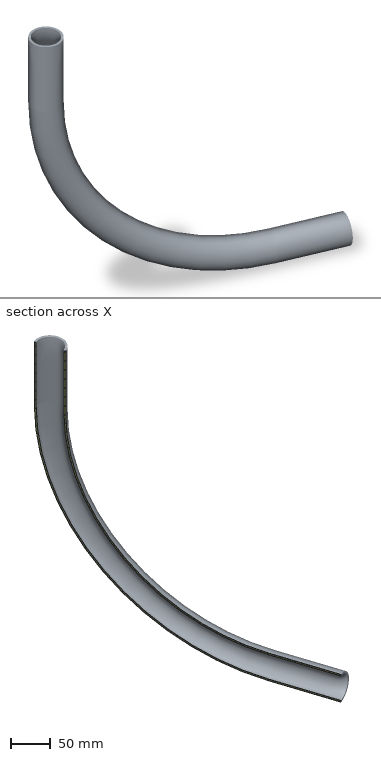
import cadquery as cq

overall_length = 428.5
outer_diameter = 44.5
inner_diameter = 38.0

straight_length = 101.0
bend_radius = overall_length - outer_diameter / 2 - straight_length
leg_reach = bend_radius + straight_length


def tube_section(workplane):
    """Annular cross-section of the tube, centred on the workplane."""
    return workplane.circle(outer_diameter / 2).circle(inner_diameter / 2)


vertical_end = tube_section(cq.Workplane("XY").workplane(offset=bend_radius)).extrude(straight_length)

bend = tube_section(cq.Workplane("XY").workplane(offset=bend_radius)).revolve(
    90, (0, bend_radius, 0), (1, bend_radius, 0)
)

horizontal_end = tube_section(cq.Workplane("XZ", origin=(0, leg_reach, 0))).extrude(straight_length)

result = vertical_end.union(bend).union(horizontal_end)